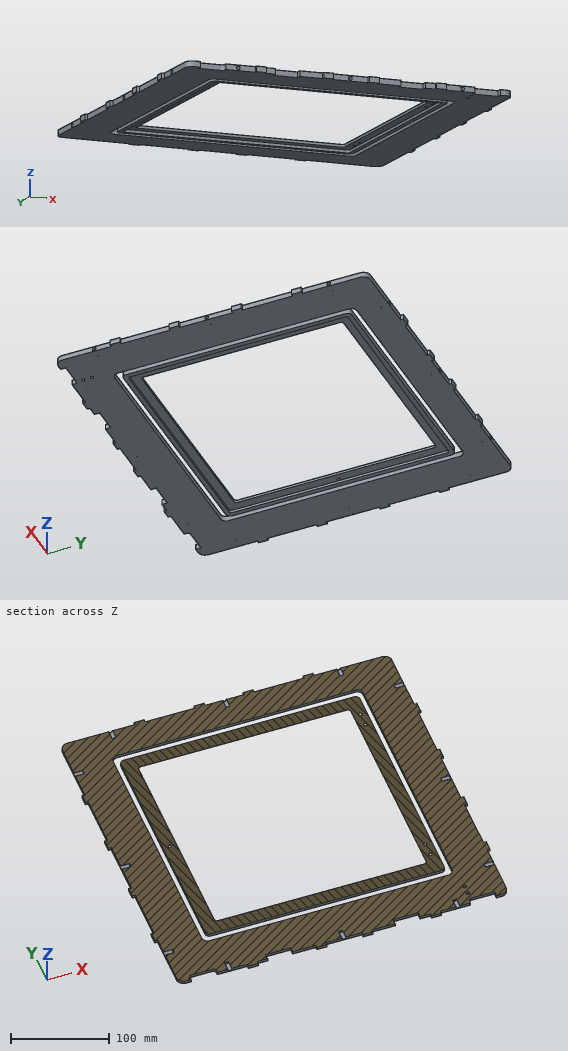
import cadquery as cq
HALF_THICKNESS = 3.0
THICKNESS = 2 * HALF_THICKNESS
TOTAL_X = 364.2
TOTAL_Y = 355.5

TAB_HEIGHT = 3.0
TAB_WIDTH = 11.0
TAB_OVERLAP = 3.5
BACK_TAB_X = (26.5, 91.8)
FRONT_TAB_X = (25.0, 99.5)
SIDE_TAB_Y = (96.5, 29.5, -40.5, -106.5)

FRAME_X = TOTAL_X - 2 * TAB_HEIGHT
FRAME_Y = TOTAL_Y - 2 * TAB_HEIGHT
FRAME_CORNER_RADIUS = 8.0

NOTCH_DEPTH = 6.0
INNER_NOTCH_WIDTH = 27.0
OUTER_NOTCH_WIDTH = 28.0
INNER_NOTCH_X = 69.2
OUTER_NOTCH_X = 151.5
NOTCH_CORNER_RADIUS = 3.0

OPENING_CENTER_Y = 5.0
WINDOW_X = 271.5
WINDOW_Y = 271.0
WINDOW_CORNER_DIAMETER = 12.0
RING_X = 260.0
RING_Y = 255.5
RING_CORNER_RADIUS = 5.0
RING_BAND = 15.0
RING_INNER_RADIUS = 3.0

REBATE_WIDTH = 10.0
REBATE_DEPTH = HALF_THICKNESS

BACK_RING_HOLE_DIAMETER = 3.2
FRONT_RING_HOLE_DIAMETER = 3.1
RING_HOLE_X = (RING_X - RING_BAND) / 2
RING_HOLE_OFFSETS_Y = (87.8, 102.7)
FRAME_HOLE_DIAMETER = 3.1
FRAME_HOLE_X = 140.0
FRAME_HOLES_Y = (-151.0, -161.0)

EDGE_HOLE_DIAMETER = 4.0
EDGE_HOLE_DEPTH = 10.0
FRONT_BACK_HOLE_X = (-124.0, 0.0, 124.0)
SIDE_HOLE_Y = (131.5, -5.0, -131.0)


def rounded_plate(size_x, size_y, radius, center_y=0.0):
    """Plate of full thickness, centred on Z = 0, with rounded vertical corners."""
    return (
        cq.Workplane("XY")
        .box(size_x, size_y, THICKNESS)
        .edges("|Z")
        .fillet(radius)
        .translate((0, center_y, 0))
    )


def through_holes(points, diameter):
    """Vertical cylinders through the full thickness."""
    return (
        cq.Workplane("XY", origin=(0, 0, -THICKNESS / 2))
        .pushPoints(points)
        .circle(diameter / 2)
        .extrude(THICKNESS)
    )


def edge_tabs():
    """Blocks that straddle the outer edges; each stands out by TAB_HEIGHT."""
    length = TAB_HEIGHT + TAB_OVERLAP
    end_x = (TOTAL_X - length) / 2
    end_y = (TOTAL_Y - length) / 2
    back_points = [(side * x, end_y) for x in BACK_TAB_X for side in (-1, 1)]
    front_points = [(side * x, -end_y) for x in FRONT_TAB_X for side in (-1, 1)]
    side_points = [(side * end_x, y) for y in SIDE_TAB_Y for side in (-1, 1)]
    y_tabs = cq.Workplane("XY").pushPoints(back_points + front_points).box(TAB_WIDTH, length, THICKNESS)
    x_tabs = cq.Workplane("XY").pushPoints(side_points).box(length, TAB_WIDTH, THICKNESS)
    return y_tabs.add(x_tabs).combine()


def notch(center_x, width):
    """Rectangular bite out of the front edge."""
    center_y = (NOTCH_DEPTH - FRAME_Y) / 2
    return cq.Workplane("XY").box(width, NOTCH_DEPTH, THICKNESS).translate((center_x, center_y, 0))


def outer_notch(side):
    """Notch near a front corner; its deep corner towards the middle is rounded."""
    deep_inner_corner = "|Z and >Y and " + ("<X" if side > 0 else ">X")
    rounded = notch(0, OUTER_NOTCH_WIDTH).edges(deep_inner_corner).fillet(NOTCH_CORNER_RADIUS)
    return rounded.translate((side * OUTER_NOTCH_X, 0, 0))


def edge_hole(x, y, direction):
    """Blind hole from an edge point, drilled along the given direction at mid thickness."""
    start = cq.Vector(x, y, 0)
    return cq.Workplane(
        cq.Solid.makeCylinder(EDGE_HOLE_DIAMETER / 2, EDGE_HOLE_DEPTH, start, cq.Vector(*direction))
    )


def make_frame():
    frame = rounded_plate(FRAME_X, FRAME_Y, FRAME_CORNER_RADIUS)
    frame = frame.union(edge_tabs())
    frame = frame.cut(rounded_plate(WINDOW_X, WINDOW_Y, WINDOW_CORNER_DIAMETER / 2, OPENING_CENTER_Y))
    for side in (-1, 1):
        frame = frame.cut(notch(side * INNER_NOTCH_X, INNER_NOTCH_WIDTH))
        frame = frame.cut(outer_notch(side))
        for x in FRONT_BACK_HOLE_X:
            frame = frame.cut(edge_hole(x, side * FRAME_Y / 2, (0, -side, 0)))
        for y in SIDE_HOLE_Y:
            frame = frame.cut(edge_hole(side * FRAME_X / 2, y, (-side, 0, 0)))
    return frame.cut(through_holes([(FRAME_HOLE_X, y) for y in FRAME_HOLES_Y], FRAME_HOLE_DIAMETER))


def ring_rebate():
    """Underside step around the ring opening."""
    rim = RING_BAND - REBATE_WIDTH
    outline = rounded_plate(RING_X - 2 * rim, RING_Y - 2 * rim, RING_INNER_RADIUS, OPENING_CENTER_Y)
    return outline.translate((0, 0, REBATE_DEPTH - THICKNESS))


def make_ring():
    ring = rounded_plate(RING_X, RING_Y, RING_CORNER_RADIUS, OPENING_CENTER_Y)
    inner_x = RING_X - 2 * RING_BAND
    inner_y = RING_Y - 2 * RING_BAND
    ring = ring.cut(rounded_plate(inner_x, inner_y, RING_INNER_RADIUS, OPENING_CENTER_Y))
    ring = ring.cut(ring_rebate())
    back_points = [(RING_HOLE_X, OPENING_CENTER_Y + offset) for offset in RING_HOLE_OFFSETS_Y]
    front_points = [(RING_HOLE_X, OPENING_CENTER_Y - offset) for offset in RING_HOLE_OFFSETS_Y]
    left_point = (-RING_HOLE_X, OPENING_CENTER_Y)
    ring = ring.cut(through_holes(back_points + [left_point], BACK_RING_HOLE_DIAMETER))
    return ring.cut(through_holes(front_points, FRONT_RING_HOLE_DIAMETER))


frame = make_frame()
ring = make_ring()

result = cq.Compound.makeCompound([frame.val(), ring.val()])